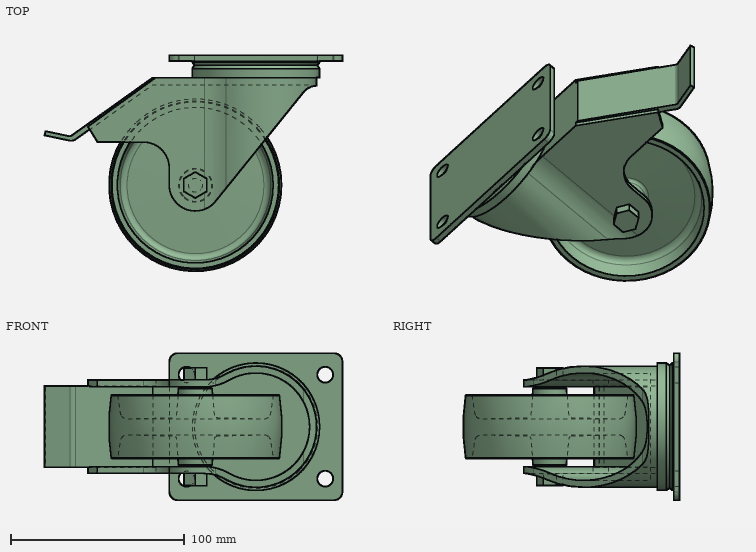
import cadquery as cq
import math


PLATE_LENGTH = 100.0
PLATE_WIDTH = 85.0
PLATE_THICKNESS = 3.5
PLATE_CORNER_RADIUS = 5.0
HOLE_DIAMETER = 9.0
HOLE_SPACING_X = 80.0
HOLE_SPACING_Z = 60.0

BEARING_RADIUS = 73.6 / 2
BEARING_NECK_RADIUS = 35.5
BEARING_RIM_DEPTH = 4.2
BEARING_NECK_DEPTH = 5.8
BEARING_BODY_DEPTH = 7.8

AXLE_X = -35.0
AXLE_Y = -75.0
AXLE_RADIUS = 4.0
WHEEL_RADIUS = 50.0
WHEEL_HALF_WIDTH = 18.5
TREAD_EDGE_RADIUS = 48.6
RIM_CHAMFER = 0.5
RIM_INNER_RADIUS = 45.0
RECESS_DRAFT_ANGLE = 8.5
DISC_OUTER_RADIUS = 39.5
DISC_OUTER_HALF_THICKNESS = 4.6
DISC_INNER_HALF_THICKNESS = 5.3
HUB_BASE_RADIUS = 10.9
HUB_END_RADIUS = 9.75
HUB_HALF_LENGTH = 22.4
HUB_FILLET = 1.9
HUB_END_CHAMFER = 0.4

HEX_DIAMETER = 15.02
HEX_END_Z = 34.0
HEX_TURN = 30.0

FORK_TOP_Y = -13.0
FORK_THICKNESS = 4.0
FORK_HALF_WIDTH = 27.0
FORK_BEND_RADIUS = 25.0
FORK_NOSE_RADIUS = 35.0
FORK_TIP_RADIUS = 15.0
FORK_FRONT_ANGLE = 51.1
FORK_NOSE_FILLET = 10.0
FORK_NOSE_BOTTOM_Y = -17.8
FORK_ARM_BOTTOM_Y = -50.2
FORK_ARM_FILLET = 15.0
FORK_ARM_TOP_X = -57.8
ARM_END_UPPER = (-97.0, -41.3)
ARM_END_LOWER = (-91.4, FORK_ARM_BOTTOM_Y)

PEDAL_HALF_WIDTH = 23.5
PEDAL_TOP_X = -59.5
PEDAL_THICKNESS = 3.2
LIP_THICKNESS = 2.6
PEDAL_ANGLE = 35.5
PEDAL_TIP_X = -122.0
PEDAL_BEND_Y = -46.9
LIP_ANGLE = 12.0
PEDAL_OUTER_BEND_RADIUS = 4.3
PEDAL_INNER_BEND_RADIUS = 2.0


def make_plate():
    plate = (
        cq.Workplane("XZ")
        .rect(PLATE_LENGTH, PLATE_WIDTH)
        .extrude(PLATE_THICKNESS)
        .edges("|Y")
        .fillet(PLATE_CORNER_RADIUS)
    )
    holes = (
        cq.Workplane("XZ")
        .rect(HOLE_SPACING_X, HOLE_SPACING_Z, forConstruction=True)
        .vertices()
        .circle(HOLE_DIAMETER / 2)
        .extrude(PLATE_THICKNESS)
    )
    return plate.cut(holes)


def make_bearing():
    """Solid housing with a V-shaped neck groove, turned about the swivel axis."""
    return (
        cq.Workplane("XY")
        .moveTo(0, -PLATE_THICKNESS)
        .lineTo(BEARING_RADIUS, -PLATE_THICKNESS)
        .lineTo(BEARING_RADIUS, -BEARING_RIM_DEPTH)
        .lineTo(BEARING_NECK_RADIUS, -BEARING_NECK_DEPTH)
        .lineTo(BEARING_RADIUS, -BEARING_BODY_DEPTH)
        .lineTo(BEARING_RADIUS, FORK_TOP_Y)
        .lineTo(0, FORK_TOP_Y)
        .close()
        .revolve(360, (0, 0, 0), (0, 1, 0))
    )


def plan_outline(wall_offset):
    """Fork outline seen along Y: parallel cheeks flowing through reverse bends into a round nose."""
    half_width = FORK_HALF_WIDTH - wall_offset
    nose_radius = FORK_NOSE_RADIUS - wall_offset
    bend_z = FORK_HALF_WIDTH + FORK_BEND_RADIUS
    centre_distance = FORK_NOSE_RADIUS + FORK_BEND_RADIUS
    bend_x = -math.sqrt(centre_distance**2 - bend_z**2)
    bend_radius = FORK_BEND_RADIUS + wall_offset
    join_x = bend_x * nose_radius / centre_distance
    join_z = bend_z * nose_radius / centre_distance
    half_sweep = math.atan2(-bend_x, bend_z) / 2
    mid_x = bend_x + bend_radius * math.sin(half_sweep)
    mid_z = bend_z - bend_radius * math.cos(half_sweep)
    rear_x = ARM_END_UPPER[0] - FORK_THICKNESS
    return (
        cq.Workplane("XZ", origin=(0, FORK_TOP_Y, 0))
        .moveTo(rear_x, -half_width)
        .lineTo(bend_x, -half_width)
        .threePointArc((mid_x, -mid_z), (join_x, -join_z))
        .threePointArc((nose_radius, 0), (join_x, join_z))
        .threePointArc((mid_x, mid_z), (bend_x, half_width))
        .lineTo(rear_x, half_width)
        .close()
    )


def make_side_profile():
    """Fork outline seen along Z, as a block wide enough to cover the whole fork."""
    slope = math.radians(FORK_FRONT_ANGLE)
    tip_left_x = AXLE_X - FORK_TIP_RADIUS
    tip_end = (
        AXLE_X + FORK_TIP_RADIUS * math.sin(slope),
        AXLE_Y - FORK_TIP_RADIUS * math.cos(slope),
    )
    fillet_start_y = FORK_NOSE_BOTTOM_Y - FORK_NOSE_FILLET * (1 - math.cos(slope))
    fillet_start_x = tip_end[0] + (fillet_start_y - tip_end[1]) / math.tan(slope)
    fillet_centre_x = fillet_start_x + FORK_NOSE_FILLET * math.sin(slope)
    fillet_centre_y = FORK_NOSE_BOTTOM_Y - FORK_NOSE_FILLET
    fillet_mid = (
        fillet_centre_x - FORK_NOSE_FILLET * math.sin(slope / 2),
        fillet_centre_y + FORK_NOSE_FILLET * math.cos(slope / 2),
    )
    front_x = FORK_NOSE_RADIUS + FORK_THICKNESS
    arm_arc_x = tip_left_x - FORK_ARM_FILLET
    arm_arc_y = FORK_ARM_BOTTOM_Y - FORK_ARM_FILLET
    arm_arc_mid = (
        arm_arc_x + FORK_ARM_FILLET * math.sin(math.pi / 4),
        arm_arc_y + FORK_ARM_FILLET * math.cos(math.pi / 4),
    )
    return (
        cq.Workplane("XY")
        .moveTo(FORK_ARM_TOP_X, FORK_TOP_Y)
        .lineTo(*ARM_END_UPPER)
        .lineTo(*ARM_END_LOWER)
        .lineTo(arm_arc_x, FORK_ARM_BOTTOM_Y)
        .threePointArc(arm_arc_mid, (tip_left_x, arm_arc_y))
        .lineTo(tip_left_x, AXLE_Y)
        .threePointArc((AXLE_X, AXLE_Y - FORK_TIP_RADIUS), tip_end)
        .lineTo(fillet_start_x, fillet_start_y)
        .threePointArc(fillet_mid, (fillet_centre_x, FORK_NOSE_BOTTOM_Y))
        .lineTo(front_x, FORK_NOSE_BOTTOM_Y)
        .lineTo(front_x, FORK_TOP_Y)
        .close()
        .extrude(FORK_NOSE_RADIUS, both=True)
    )


def make_fork():
    """Bent sheet fork: a continuous wall under a flat web."""
    height = FORK_TOP_Y - AXLE_Y + FORK_TIP_RADIUS
    wall = plan_outline(0).extrude(height).cut(plan_outline(FORK_THICKNESS).extrude(height))
    web = plan_outline(0).extrude(FORK_THICKNESS)
    return wall.union(web).intersect(make_side_profile())


def make_pedal():
    """Sloping pedal sheet with a thinner foot lip bent up at its end."""
    slope = math.radians(PEDAL_ANGLE)
    lip = math.radians(LIP_ANGLE)
    top_run = FORK_TOP_Y - PEDAL_BEND_Y
    bend = (PEDAL_TOP_X - top_run / math.tan(slope), PEDAL_BEND_Y)
    lip_run = bend[0] - PEDAL_TIP_X - LIP_THICKNESS * math.sin(lip)
    tip_upper = (bend[0] - lip_run, bend[1] + lip_run * math.tan(lip))
    tip_lower = (
        tip_upper[0] - LIP_THICKNESS * math.sin(lip),
        tip_upper[1] - LIP_THICKNESS * math.cos(lip),
    )
    under_top = (PEDAL_TOP_X + PEDAL_THICKNESS / math.sin(slope), FORK_TOP_Y)
    slope_offset = under_top[1] - under_top[0] * math.tan(slope)
    lip_offset = tip_lower[1] + tip_lower[0] * math.tan(lip)
    under_bend_x = (lip_offset - slope_offset) / (math.tan(slope) + math.tan(lip))
    under_bend = (under_bend_x, lip_offset - under_bend_x * math.tan(lip))
    sheet = (
        cq.Workplane("XY")
        .polyline([(PEDAL_TOP_X, FORK_TOP_Y), bend, tip_upper, tip_lower, under_bend, under_top])
        .close()
        .extrude(PEDAL_HALF_WIDTH, both=True)
    )
    inner_edge = cq.selectors.NearestToPointSelector((bend[0], bend[1], 0))
    outer_edge = cq.selectors.NearestToPointSelector((under_bend[0], under_bend[1], 0))
    sheet = sheet.edges("|Z").edges(inner_edge).fillet(PEDAL_INNER_BEND_RADIUS)
    return sheet.edges("|Z").edges(outer_edge).fillet(PEDAL_OUTER_BEND_RADIUS)


def make_half_wheel():
    """Half of the wheel on the +Z side of its middle plane, without the crown of the tread."""
    hub_inset = HUB_FILLET * (1 - math.sqrt(0.5))
    hub_mid = (HUB_BASE_RADIUS + hub_inset, DISC_INNER_HALF_THICKNESS + hub_inset)

    draft = math.radians(RECESS_DRAFT_ANGLE)
    recess_width = RIM_INNER_RADIUS - DISC_OUTER_RADIUS
    recess_depth = WHEEL_HALF_WIDTH - DISC_OUTER_HALF_THICKNESS
    wall_distance = recess_width * math.cos(draft) - recess_depth * math.sin(draft)
    fillet = wall_distance / (1 - math.sin(draft))
    fillet_centre_z = DISC_OUTER_HALF_THICKNESS + fillet
    fillet_end = (
        DISC_OUTER_RADIUS + fillet * math.cos(draft),
        fillet_centre_z - fillet * math.sin(draft),
    )
    half_turn = (math.pi / 2 - draft) / 2
    fillet_mid = (
        DISC_OUTER_RADIUS + fillet * math.sin(half_turn),
        fillet_centre_z - fillet * math.cos(half_turn),
    )
    return (
        cq.Workplane("XZ")
        .lineTo(0, HUB_HALF_LENGTH)
        .lineTo(HUB_END_RADIUS - HUB_END_CHAMFER, HUB_HALF_LENGTH)
        .lineTo(HUB_END_RADIUS, HUB_HALF_LENGTH - HUB_END_CHAMFER)
        .lineTo(HUB_BASE_RADIUS, DISC_INNER_HALF_THICKNESS + HUB_FILLET)
        .threePointArc(hub_mid, (HUB_BASE_RADIUS + HUB_FILLET, DISC_INNER_HALF_THICKNESS))
        .lineTo(DISC_OUTER_RADIUS, DISC_OUTER_HALF_THICKNESS)
        .threePointArc(fillet_mid, fillet_end)
        .lineTo(RIM_INNER_RADIUS, WHEEL_HALF_WIDTH)
        .lineTo(TREAD_EDGE_RADIUS - RIM_CHAMFER, WHEEL_HALF_WIDTH)
        .lineTo(TREAD_EDGE_RADIUS, WHEEL_HALF_WIDTH - RIM_CHAMFER)
        .lineTo(TREAD_EDGE_RADIUS, 0)
        .close()
        .revolve(360, (0, 0, 0), (0, 1, 0))
    )


def make_wheel():
    """Crowned wheel with a recess, a slightly conical disc and a tapered hub on each side."""
    half_wheel = make_half_wheel()
    tread_edge_z = WHEEL_HALF_WIDTH - RIM_CHAMFER
    crown = (
        cq.Workplane("XZ")
        .moveTo(RIM_INNER_RADIUS + RIM_CHAMFER, -tread_edge_z)
        .lineTo(TREAD_EDGE_RADIUS, -tread_edge_z)
        .threePointArc((WHEEL_RADIUS, 0), (TREAD_EDGE_RADIUS, tread_edge_z))
        .lineTo(RIM_INNER_RADIUS + RIM_CHAMFER, tread_edge_z)
        .close()
        .revolve(360, (0, 0, 0), (0, 1, 0))
    )
    wheel = half_wheel.union(half_wheel.mirror("XY")).union(crown)
    return wheel.translate((AXLE_X, AXLE_Y, 0))


def make_axle():
    """Axle through the hub with a hexagonal head outside each cheek."""
    axle = cq.Workplane("XY").circle(AXLE_RADIUS).extrude(FORK_HALF_WIDTH, both=True)
    for side in (-1, 1):
        head = (
            cq.Workplane("XY", origin=(0, 0, side * FORK_HALF_WIDTH))
            .polygon(6, HEX_DIAMETER)
            .extrude(side * (HEX_END_Z - FORK_HALF_WIDTH))
            .rotate((0, 0, 0), (0, 0, 1), HEX_TURN)
        )
        axle = axle.union(head)
    return axle.translate((AXLE_X, AXLE_Y, 0))


result = (
    make_plate()
    .union(make_bearing())
    .union(make_fork())
    .union(make_pedal())
    .union(make_wheel())
    .union(make_axle())
)